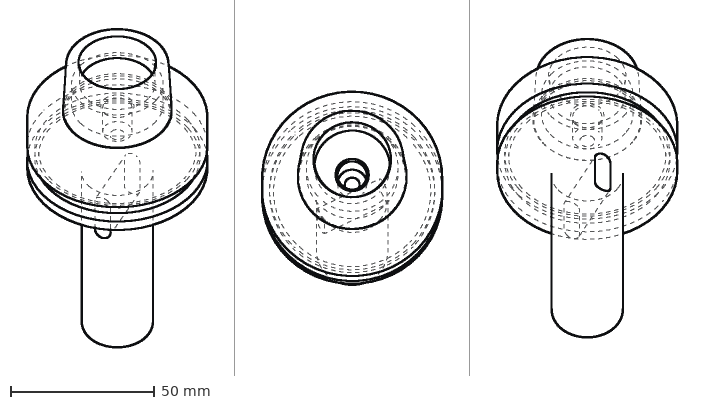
import cadquery as cq
import math


taper_height = 25.0
taper_base_radius = 19.03
taper_ratio = 1 / 10
taper_rim_round = 1.0
taper_base_height = 2.2

relief_wall_radius = 18.6
relief_depth = 0.4
relief_outer_radius = 20.3
relief_wall_top = 1.6
relief_corner_round = 0.7

flange_radius = 31.5
flange_thickness = 26.0
flange_edge_round = 1.0
groove_radius = 27.5
groove_center_depth = 18.0
groove_mouth_width = 6.8
groove_floor_width = 3.75
groove_chamfer_angle = 30.0
groove_corner_round = 0.7

shank_radius = 12.5
shank_length = 74.0
shank_end_round = 2.0
shank_root_round = 1.0

bore_mouth_radius = 13.2
bore_chamfer_width = 0.35
bore_chamfer_height = 1.2
bore_mouth_depth = 10.0
bore_inner_radius = 16.0
bore_depth = 20.7
bore_floor_round = 1.0

hole_radius = 5.1
hole_chamfer = 0.7
hole_depth = 12.0
hole_tip_radius = 2.6
hole_tip_angle = 59.0

slot_width = 6.0
slot_length = 19.0
slot_top_depth = 28.8

flange_bottom = -flange_thickness
shank_bottom = flange_bottom - shank_length


def revolve_outline(points):
    """Revolve a closed (radius, height) outline around the Z axis."""
    return cq.Workplane("XZ").polyline(points).close().revolve(360, (0, 0, 0), (0, 1, 0))


def round_circle(body, radius, height, size):
    """Fillet the circular edges of the given radius lying at the given height."""
    tolerance = 0.01
    reach = radius + tolerance
    low_corner = (-reach, -reach, height - tolerance)
    high_corner = (reach, reach, height + tolerance)
    nearby = body.edges(cq.selectors.BoxSelector(low_corner, high_corner, boundingbox=True)).vals()
    circles = [edge for edge in nearby if edge.geomType() == "CIRCLE"]
    edges = [edge for edge in circles if abs(edge.radius() - radius) < tolerance]
    return body.newObject(edges).fillet(size)


def make_taper():
    top_radius = taper_base_radius - (taper_height - taper_base_height) * taper_ratio / 2
    taper = revolve_outline([
        (0, -relief_depth),
        (relief_wall_radius, -relief_depth),
        (relief_wall_radius, relief_wall_top),
        (taper_base_radius, taper_base_height),
        (top_radius, taper_height),
        (0, taper_height),
    ])
    return round_circle(taper, top_radius, taper_height, taper_rim_round)


def make_flange():
    chamfer_height = (groove_mouth_width - groove_floor_width) / 2
    chamfer_radius = flange_radius - chamfer_height / math.tan(math.radians(groove_chamfer_angle))
    mouth_top = -groove_center_depth + groove_mouth_width / 2
    mouth_bottom = mouth_top - groove_mouth_width
    floor_top = mouth_top - chamfer_height
    floor_bottom = mouth_bottom + chamfer_height
    flange = revolve_outline([
        (0, flange_bottom),
        (flange_radius, flange_bottom),
        (flange_radius, mouth_bottom),
        (chamfer_radius, floor_bottom),
        (groove_radius, floor_bottom),
        (groove_radius, floor_top),
        (chamfer_radius, floor_top),
        (flange_radius, mouth_top),
        (flange_radius, 0),
        (relief_outer_radius, 0),
        (relief_wall_radius, -relief_depth),
        (0, -relief_depth),
    ])
    for height in (0, flange_bottom):
        flange = round_circle(flange, flange_radius, height, flange_edge_round)
    for height in (floor_top, floor_bottom):
        flange = round_circle(flange, groove_radius, height, groove_corner_round)
    return flange


def make_shank():
    return (
        cq.Workplane("XY", origin=(0, 0, shank_bottom))
        .circle(shank_radius)
        .extrude(shank_length)
        .faces("<Z").edges().fillet(shank_end_round)
    )


def make_bore():
    hole_top = taper_height - bore_depth
    hole_bottom = hole_top - hole_depth
    tip_height = (hole_radius - hole_tip_radius) / math.tan(math.radians(hole_tip_angle))
    bore = revolve_outline([
        (0, taper_height),
        (bore_mouth_radius + bore_chamfer_width, taper_height),
        (bore_mouth_radius, taper_height - bore_chamfer_height),
        (bore_mouth_radius, taper_height - bore_mouth_depth),
        (bore_inner_radius, taper_height - bore_mouth_depth),
        (bore_inner_radius, hole_top),
        (hole_radius + hole_chamfer, hole_top),
        (hole_radius, hole_top - hole_chamfer),
        (hole_radius, hole_bottom),
        (hole_tip_radius, hole_bottom - tip_height),
        (0, hole_bottom - tip_height),
    ])
    return round_circle(bore, bore_inner_radius, hole_top, bore_floor_round)


def make_slot():
    return (
        cq.Workplane("XZ", origin=(0, 0, -slot_top_depth - slot_length / 2))
        .slot2D(slot_length, slot_width, 90)
        .extrude(shank_radius, both=True)
    )


body = make_taper().union(make_flange()).union(make_shank())
body = round_circle(body, relief_wall_radius, -relief_depth, relief_corner_round)
body = round_circle(body, shank_radius, flange_bottom, shank_root_round)
result = body.cut(make_bore()).cut(make_slot())